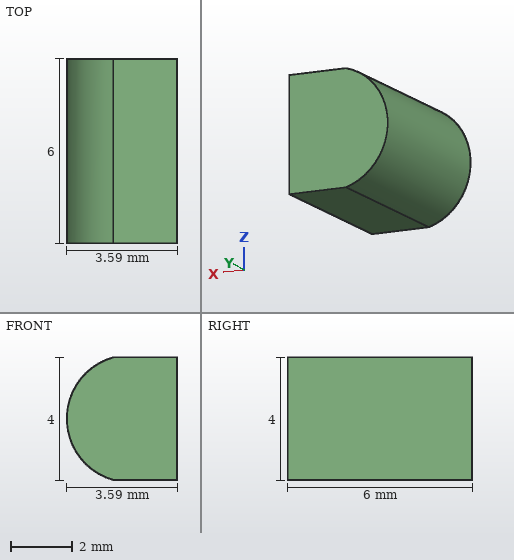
import cadquery as cq

width = 3.59
length = 6.0
height = 4.0

flat_width = 2.07

half_height = height / 2
back_x = width / 2
crown_x = -width / 2
arc_end_x = back_x - flat_width


def d_profile():
    """Section across the bar: a flat back, parallel top and bottom, and a round side toward -X."""
    return (
        cq.Workplane("XZ")
        .moveTo(arc_end_x, -half_height)
        .lineTo(back_x, -half_height)
        .lineTo(back_x, half_height)
        .lineTo(arc_end_x, half_height)
        .threePointArc((crown_x, 0), (arc_end_x, -half_height))
        .close()
    )


result = d_profile().extrude(length / 2, both=True)